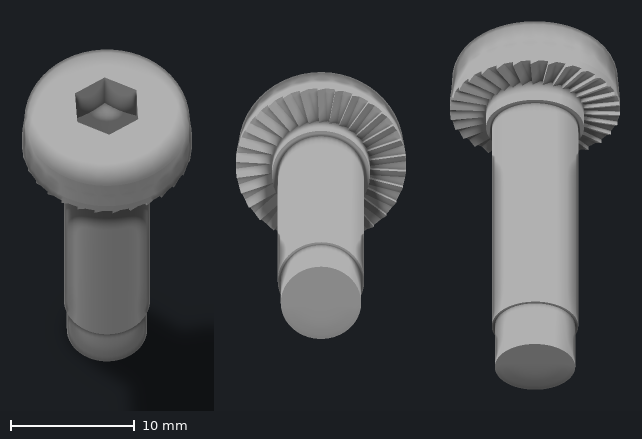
import cadquery as cq
import math

total_height = 30.3
seat_height = 25.0
tip_length = 4.0
collar_height = 1.48
collar_bottom = seat_height - collar_height

tip_radius = 6.5 / 2
shank_radius = 7.0 / 2
collar_radius = 3.97

head_radius = 13.8 / 2
crown_flat_radius = 4.7
crown_round = 2.0
rim_top = 26.0
taper_angle = math.radians(4.9)

tooth_count = 30
tooth_height = 0.35
tooth_width = 0.67
tooth_root = seat_height + tooth_height

socket_across_flats = 5.0
socket_corner_radius = socket_across_flats / math.sqrt(3)
socket_corner_depth = 3.45
floor_cone_angle = 120.0


def crown_point(angle):
    """Point (radius, height) on the crown round at an angle above horizontal."""
    radius = crown_flat_radius + crown_round * math.cos(angle)
    height = total_height - crown_round + crown_round * math.sin(angle)
    return radius, height


def make_body():
    """Solid of revolution: tip, shank, collar and head down to the tooth roots."""
    crown_middle = (taper_angle + math.pi / 2) / 2
    return (
        cq.Workplane("XZ")
        .lineTo(tip_radius, 0)
        .lineTo(tip_radius, tip_length)
        .lineTo(shank_radius, tip_length)
        .lineTo(shank_radius, collar_bottom)
        .lineTo(collar_radius, collar_bottom)
        .lineTo(collar_radius, tooth_root)
        .lineTo(head_radius, tooth_root)
        .lineTo(head_radius, rim_top)
        .lineTo(*crown_point(taper_angle))
        .threePointArc(crown_point(crown_middle), (crown_flat_radius, total_height))
        .lineTo(0, total_height)
        .close()
        .revolve(360, (0, 0, 0), (0, 1, 0))
    )


def make_serrations():
    """Ring of saw-tooth ribs: a steep radial wall, then a ramp rising counterclockwise."""
    overlap = 0.15
    inner_end = collar_radius - overlap
    rib = (
        cq.Workplane("YZ", origin=(inner_end, 0, 0))
        .moveTo(0, seat_height)
        .lineTo(tooth_width, tooth_root)
        .lineTo(tooth_width, tooth_root + overlap)
        .lineTo(0, tooth_root + overlap)
        .close()
        .extrude(head_radius - inner_end + overlap)
        .val()
    )
    ribs = cq.Workplane("XY")
    for index in range(tooth_count):
        angle = index * 360 / tooth_count
        ribs = ribs.add(rib.rotate(cq.Vector(0, 0, 0), cq.Vector(0, 0, 1), angle))
    rim = (
        cq.Workplane("XY")
        .workplane(offset=seat_height)
        .circle(head_radius)
        .extrude(tooth_height + overlap)
    )
    return ribs.combine().intersect(rim)


def make_socket():
    """Hexagonal prism with corners on X, ended by a cone that meets its corners."""
    cone_height = socket_corner_radius / math.tan(math.radians(floor_cone_angle / 2))
    cone_base = total_height - socket_corner_depth
    hexagon = (
        cq.Workplane("XY")
        .workplane(offset=total_height)
        .polygon(6, 2 * socket_corner_radius)
        .extrude(-socket_corner_depth - cone_height)
    )
    drill = (
        cq.Workplane("XZ")
        .moveTo(0, cone_base - cone_height)
        .lineTo(socket_corner_radius, cone_base)
        .lineTo(socket_corner_radius, total_height)
        .lineTo(0, total_height)
        .close()
        .revolve(360, (0, 0, 0), (0, 1, 0))
    )
    return hexagon.intersect(drill)


result = make_body().union(make_serrations()).cut(make_socket())